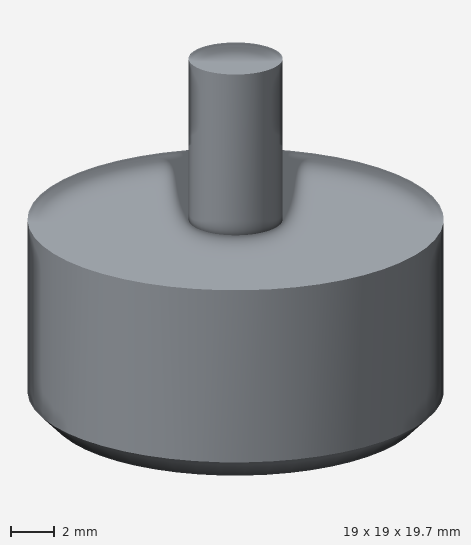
import cadquery as cq

total_height = 19.7
body_radius = 19.0 / 2
pin_radius = 4.3 / 2
pin_length = 7.8
chamfer = 1.0
tip_height = 2.55

chamfer_top = tip_height + chamfer
shoulder = total_height - pin_length

profile = (
    cq.Workplane("XZ")
    .moveTo(0, 0)
    .lineTo(body_radius - chamfer, tip_height)
    .lineTo(body_radius, chamfer_top)
    .lineTo(body_radius, shoulder)
    .lineTo(pin_radius, shoulder)
    .lineTo(pin_radius, total_height)
    .lineTo(0, total_height)
    .close()
)

result = profile.revolve(360, (0, 0, 0), (0, 1, 0))